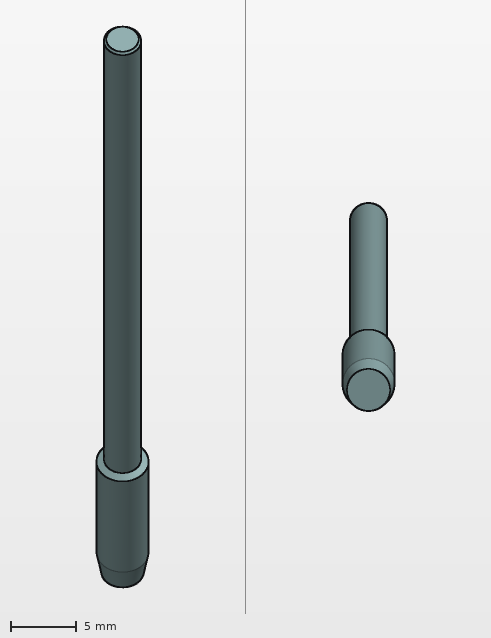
import cadquery as cq

total_length = 63.0
tip_diameter = 4.0
rod_diameter = 2.85

tip_length = 13.3
nose_length = 2.25
nose_end_diameter = 3.3
shoulder_height = 0.3

rod_chamfer = 0.2

tip_radius = tip_diameter / 2
rod_radius = rod_diameter / 2
nose_end_radius = nose_end_diameter / 2


def make_tip():
    """Solid of revolution about Z; its flat top is as wide as the rod."""
    half_profile = (
        cq.Workplane("XZ")
        .moveTo(0, 0)
        .lineTo(nose_end_radius, 0)
        .lineTo(tip_radius, nose_length)
        .lineTo(tip_radius, tip_length - shoulder_height)
        .lineTo(rod_radius, tip_length)
        .lineTo(0, tip_length)
        .close()
    )
    return half_profile.revolve(360, (0, 0, 0), (0, 1, 0))


def make_rod():
    """Round rod standing on the flat top of the tip."""
    return (
        cq.Workplane("XY", origin=(0, 0, tip_length))
        .circle(rod_radius)
        .extrude(total_length - tip_length)
        .faces(">Z")
        .chamfer(rod_chamfer)
    )


tip = make_tip()
rod = make_rod()

result = cq.Compound.makeCompound([tip.val(), rod.val()])